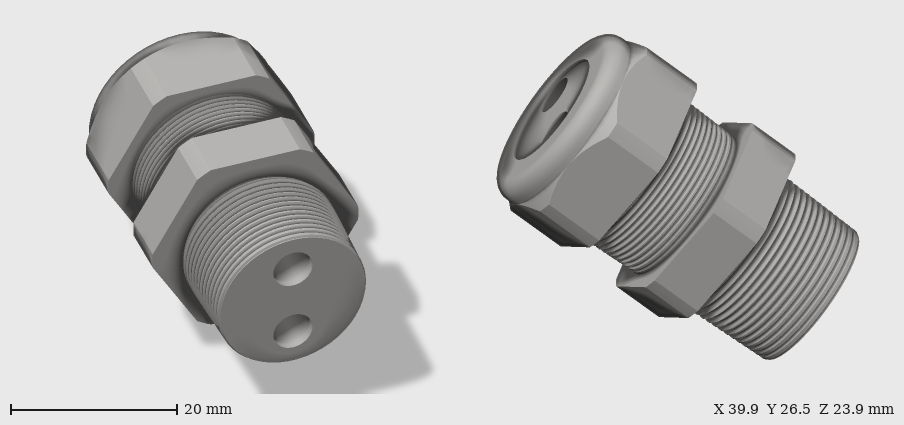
import cadquery as cq
import math

length = 39.88
across_flats = 23.9
corner_diameter = 26.5
corner_angle = 30.0

dome_fillet = 2.0
cone_start = 2.75
cone_end = 4.15
cap_end = 11.85

collar_start = 20.38
collar_end = 26.95

flank_angle = 30.0
root_width = 0.15
cap_thread_root = 9.9
cap_thread_crest_start = 10.45
cap_thread_crest_end = 10.13
cap_thread_pitch = 0.75
cap_thread_first_groove = 12.15
tail_root = 9.25
tail_crest_start = 9.97
tail_crest_end = 9.5
tail_first_groove = 28.15
tail_last_groove = 39.75
tail_groove_count = 14

neck_radius = 9.0
relief_radius = 1.0

insert_radius = 7.58
recess_radius = 7.35
recess_depth = 0.48
hole_radius = 2.5
hole_offset = 4.8

flat_radius = across_flats / 2
corner_radius = corner_diameter / 2
tail_pitch = (tail_last_groove - tail_first_groove) / (tail_groove_count - 1)


def rod(start, end, radius):
    """Round bar along the X axis."""
    return cq.Workplane("YZ").workplane(offset=start).circle(radius).extrude(end - start)


def turned(outline):
    """Solid of revolution about the X axis from a closed (x, radius) outline."""
    return outline.close().revolve(360, (0, 0, 0), (1, 0, 0))


def rounded_hexagon(start, end):
    """Hexagonal bar with flats at +Z and -Z and its corners turned down."""
    prism = (
        cq.Workplane("YZ")
        .workplane(offset=start)
        .polygon(6, across_flats, circumscribed=True)
        .extrude(end - start)
        .rotate((0, 0, 0), (1, 0, 0), corner_angle)
    )
    return prism.intersect(rod(start, end, corner_radius))


def cap():
    """Domed cap: a hexagon whose front corners run down a cone to a round dome."""
    outline = (
        cq.Workplane("XZ")
        .lineTo(0, flat_radius - dome_fillet)
        .radiusArc((dome_fillet, flat_radius), dome_fillet)
        .lineTo(cone_start, flat_radius)
        .lineTo(cone_end, corner_radius)
        .lineTo(cap_end, corner_radius)
        .lineTo(cap_end, 0)
    )
    return turned(outline).intersect(rounded_hexagon(0, cap_end))


def ring_groove(middle, root_radius, outer_radius):
    """Ring with a V section and a flat root, used to cut one thread groove."""
    half_root = root_width / 2
    half_top = half_root + (outer_radius - root_radius) * math.tan(math.radians(flank_angle))
    outline = cq.Workplane("XZ").polyline([
        (middle - half_root, root_radius),
        (middle + half_root, root_radius),
        (middle + half_top, outer_radius),
        (middle - half_top, outer_radius),
    ])
    return turned(outline)


def threaded_rod(start, end, root_radius, crest_start, crest_end, groove_middles):
    """Tapered rod with a ring groove at each of the given places."""
    blank = cq.Workplane("XZ").polyline([(start, 0), (start, crest_start), (end, crest_end), (end, 0)])
    thread = turned(blank)
    for middle in groove_middles:
        thread = thread.cut(ring_groove(middle, root_radius, crest_start))
    return thread


def cap_thread():
    """Thread between the cap and the middle hexagon."""
    count = math.ceil((collar_start - cap_thread_first_groove) / cap_thread_pitch)
    middles = [cap_thread_first_groove + i * cap_thread_pitch for i in range(count)]
    return threaded_rod(
        cap_end, collar_start, cap_thread_root, cap_thread_crest_start, cap_thread_crest_end, middles
    )


def tail():
    """Thread at the +X end, with a round relief next to the middle hexagon."""
    middles = [tail_first_groove + i * tail_pitch for i in range(tail_groove_count)]
    thread = threaded_rod(collar_end, length, tail_root, tail_crest_start, tail_crest_end, middles)
    relief_top = neck_radius + relief_radius
    relief = (
        cq.Workplane("XZ")
        .moveTo(collar_end, neck_radius)
        .radiusArc((collar_end + relief_radius, relief_top), -relief_radius)
        .lineTo(collar_end, relief_top)
    )
    return thread.cut(turned(relief))


def make_housing():
    """Outer gland with a through bore for the insert."""
    collar = rounded_hexagon(collar_start, collar_end)
    solid = cap().union(cap_thread()).union(collar).union(tail())
    return solid.cut(rod(0, length, insert_radius))


def make_insert():
    """Plug filling the bore, with a shallow front recess and two through holes."""
    holes = (
        cq.Workplane("YZ")
        .pushPoints([(0, hole_offset), (0, -hole_offset)])
        .circle(hole_radius)
        .extrude(length)
    )
    return rod(0, length, insert_radius).cut(rod(0, recess_depth, recess_radius)).cut(holes)


housing = make_housing()
insert = make_insert()

result = cq.Compound.makeCompound([housing.val(), insert.val()])